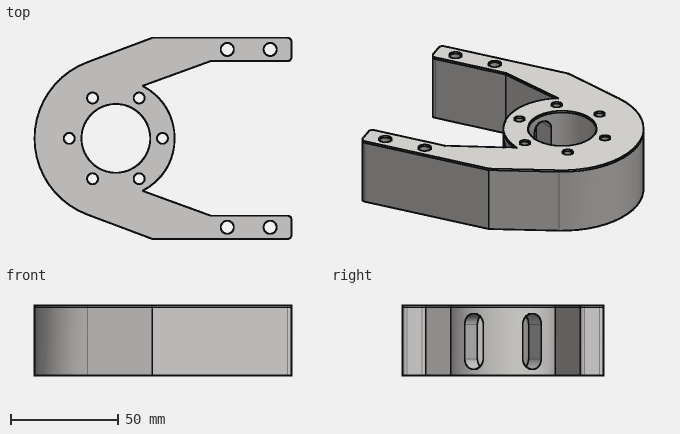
import cadquery as cq
import math

total_height = 33.0
plate_thickness = 1.0
body_height = total_height - plate_thickness

back_radius = 38.0
hub_radius = 27.5
bore_diameter = 32.0

overall_length = 120.0
overall_width = 94.0
arm_thickness = 11.0
arm_corner_radius = 2.0
arm_tip_x = overall_length - back_radius
arm_outer_y = overall_width / 2
arm_inner_y = arm_outer_y - arm_thickness
outer_bend_x = 17.05
inner_bend_x = 44.2
inner_flank_angle = 20.0

hub_hole_diameter = 5.0
hub_hole_circle_radius = (bore_diameter / 2 + hub_radius) / 2
hub_hole_count = 6
arm_hole_diameter = 6.0
arm_hole_tip_distances = (10.0, 30.0)
arm_hole_y = arm_outer_y - arm_thickness / 2

window_width = 10.0
window_height = 26.0
window_center_z = body_height / 2
window_angles = (-30.0, 30.0)


def tangent_point():
    """Point where the line from the outer bend (+Y side) touches the rounded back."""
    bend_distance = math.hypot(outer_bend_x, arm_outer_y)
    bend_angle = math.atan2(arm_outer_y, outer_bend_x)
    angle = bend_angle + math.acos(back_radius / bend_distance)
    return back_radius * math.cos(angle), back_radius * math.sin(angle)


def flank_hub_point():
    """Point where the inner flank of the +Y arm runs into the hub circle."""
    slope = math.radians(inner_flank_angle)
    along_x, along_y = math.cos(slope), math.sin(slope)
    projection = inner_bend_x * along_x + arm_inner_y * along_y
    offset = arm_inner_y * along_x - inner_bend_x * along_y
    travel = projection - math.sqrt(hub_radius**2 - offset**2)
    return inner_bend_x - travel * along_x, arm_inner_y - travel * along_y


def drill(solid, points, diameter):
    """Cut vertical holes right through the solid."""
    holes = cq.Workplane("XY").pushPoints(points).circle(diameter / 2).extrude(total_height)
    return solid.cut(holes)


def make_fork_layer(thickness):
    """Fork-shaped layer standing on Z = 0, with its bore and all vertical holes."""
    back_x, back_y = tangent_point()
    hub_x, hub_y = flank_hub_point()
    layer = (
        cq.Workplane("XY")
        .moveTo(back_x, back_y)
        .lineTo(outer_bend_x, arm_outer_y)
        .lineTo(arm_tip_x, arm_outer_y)
        .lineTo(arm_tip_x, arm_inner_y)
        .lineTo(inner_bend_x, arm_inner_y)
        .lineTo(hub_x, hub_y)
        .threePointArc((hub_radius, 0), (hub_x, -hub_y))
        .lineTo(inner_bend_x, -arm_inner_y)
        .lineTo(arm_tip_x, -arm_inner_y)
        .lineTo(arm_tip_x, -arm_outer_y)
        .lineTo(outer_bend_x, -arm_outer_y)
        .lineTo(back_x, -back_y)
        .threePointArc((-back_radius, 0), (back_x, back_y))
        .close()
        .extrude(thickness)
    )
    layer = layer.faces(">X").edges("|Z").fillet(arm_corner_radius)

    hub_holes = []
    for index in range(hub_hole_count):
        angle = 2 * math.pi * index / hub_hole_count
        hole_x = hub_hole_circle_radius * math.cos(angle)
        hole_y = hub_hole_circle_radius * math.sin(angle)
        hub_holes.append((hole_x, hole_y))
    arm_holes = [
        (arm_tip_x - distance, side * arm_hole_y)
        for distance in arm_hole_tip_distances
        for side in (-1, 1)
    ]
    layer = drill(layer, [(0, 0)], bore_diameter)
    layer = drill(layer, hub_holes, hub_hole_diameter)
    return drill(layer, arm_holes, arm_hole_diameter)


def make_window_cutter(angle):
    """Upright round-ended slot running from the Z axis outwards past the hub wall."""
    return (
        cq.Workplane("YZ")
        .center(0, window_center_z)
        .slot2D(window_height, window_width, 90)
        .extrude(back_radius)
        .rotate((0, 0, 0), (0, 0, 1), angle)
    )


def make_body():
    body = make_fork_layer(body_height)
    for angle in window_angles:
        body = body.cut(make_window_cutter(angle))
    return body


def make_cover_plate():
    return make_fork_layer(plate_thickness).translate((0, 0, body_height))


body = make_body()
cover_plate = make_cover_plate()

result = cq.Compound.makeCompound([body.val(), cover_plate.val()])